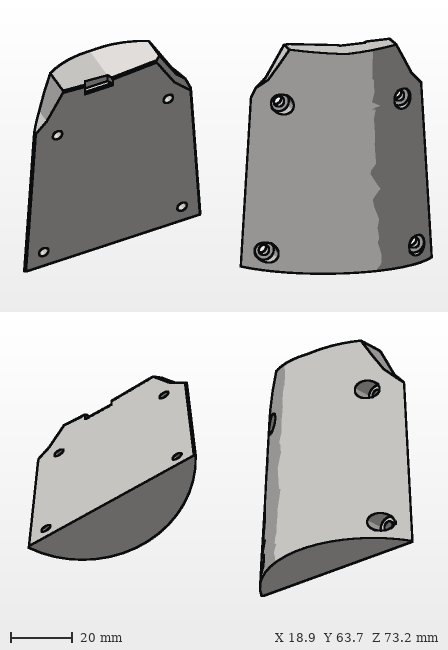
import math

import cadquery as cq

HEIGHT = 73.16
BASE_DEPTH = 18.88
BASE_WIDTH = 63.73
CROWN_TAPER = 2.92
SIDE_TAPER = 3.48
EDGE_BEVEL = 0.5

PEAK_Y = 17.8
SHOULDER_Y = 23.9
TOP_SLOPE = 4.0
SHOULDER_SLOPE = 60.0
CORNER_SLOPE = 45.0
VALLEY_HALF_WIDTH = 0.95

RELIEF = 2.05
NOTCH_NEAR_Y = -VALLEY_HALF_WIDTH
NOTCH_FAR_Y = -9.15
NOTCH_FLARE = 0.95
NOTCH_DEPTH = 2.5

HOLE_DIAMETER = 3.4
HEAD_DIAMETER = 6.5
HEAD_SEAT_X = -4.5
LOWER_HOLES = (25.0, 6.0)
UPPER_HOLES = (20.0, 55.0)

OUTSIDE = 45.0


def tangent(degrees):
    return math.tan(math.radians(degrees))


VALLEY_Z = HEIGHT - PEAK_Y * tangent(TOP_SLOPE)
SHOULDER_Z = HEIGHT - (SHOULDER_Y - PEAK_Y) * tangent(SHOULDER_SLOPE)
CORNER_END_Z = SHOULDER_Z - (OUTSIDE - SHOULDER_Y) * tangent(CORNER_SLOPE)


def top_height(y):
    """Height of the top face at a given y, before the valley is eased."""
    return VALLEY_Z + abs(y) * tangent(TOP_SLOPE)


def cross_section(body, z):
    """Add the horizontal section at height z: crown arc, bevelled edges, flat back."""
    depth = BASE_DEPTH - z * tangent(CROWN_TAPER)
    half_width = BASE_WIDTH / 2 - z * tangent(SIDE_TAPER)
    back_half_width = half_width - EDGE_BEVEL
    return (
        body.moveTo(0, -back_half_width)
        .lineTo(-EDGE_BEVEL, -half_width)
        .threePointArc((-depth, 0), (-EDGE_BEVEL, half_width))
        .lineTo(0, back_half_width)
        .close()
    )


def tapered_body():
    base = cross_section(cq.Workplane("XY"), 0)
    both = cross_section(base.workplane(offset=HEIGHT), HEIGHT)
    return both.loft(ruled=True)


def outline_prism():
    """Prism along X with the top outline; it trims the tapered body."""
    valley_edge_z = top_height(VALLEY_HALF_WIDTH)
    valley_bottom_z = valley_edge_z - VALLEY_HALF_WIDTH * tangent(TOP_SLOPE / 2)
    return (
        cq.Workplane("YZ")
        .moveTo(-OUTSIDE, 0)
        .lineTo(-OUTSIDE, CORNER_END_Z)
        .lineTo(-SHOULDER_Y, SHOULDER_Z)
        .lineTo(-PEAK_Y, HEIGHT)
        .lineTo(-VALLEY_HALF_WIDTH, valley_edge_z)
        .lineTo(0, valley_bottom_z)
        .lineTo(VALLEY_HALF_WIDTH, valley_edge_z)
        .lineTo(PEAK_Y, HEIGHT)
        .lineTo(SHOULDER_Y, SHOULDER_Z)
        .lineTo(OUTSIDE, CORNER_END_Z)
        .lineTo(OUTSIDE, 0)
        .close()
        .extrude(-OUTSIDE)
    )


def back_cutter(inner, back, depth):
    """Ruled body from the (y, z) loop at x = -depth to the loop on the back face."""
    return (
        cq.Workplane("YZ", origin=(-depth, 0, 0))
        .polyline(inner)
        .close()
        .workplane(offset=depth)
        .polyline(back)
        .close()
        .loft(ruled=True)
    )


def top_edge_bevel():
    """Small bevel along the V-shaped top edge of the back face."""

    def loop(drop):
        end_z = top_height(OUTSIDE) - drop
        roof_z = HEIGHT + OUTSIDE
        return [
            (-OUTSIDE, end_z),
            (0, VALLEY_Z - drop),
            (OUTSIDE, end_z),
            (OUTSIDE, roof_z),
            (-OUTSIDE, roof_z),
        ]

    return back_cutter(loop(0), loop(EDGE_BEVEL), EDGE_BEVEL)


def shoulder_relief():
    """45 degree relief along the two sloping edges on the +Y side."""

    def loop(inset):
        steep_drop = inset / math.cos(math.radians(SHOULDER_SLOPE))
        shallow_drop = inset / math.cos(math.radians(CORNER_SLOPE))
        steep = tangent(SHOULDER_SLOPE)
        shallow = tangent(CORNER_SLOPE)
        mitre_shift = (steep_drop - shallow_drop) / (steep - shallow)
        mitre_y = SHOULDER_Y - mitre_shift
        mitre_z = SHOULDER_Z + steep * mitre_shift - steep_drop
        roof_z = HEIGHT + OUTSIDE
        return [
            (SHOULDER_Y - (roof_z - SHOULDER_Z + steep_drop) / steep, roof_z),
            (mitre_y, mitre_z),
            (OUTSIDE, CORNER_END_Z - shallow_drop),
            (OUTSIDE, roof_z),
        ]

    return back_cutter(loop(0), loop(RELIEF), RELIEF)


def top_notch():
    """Flat-floored notch in the top back edge; its ends flare and its floor edge is bevelled."""
    floor_z = VALLEY_Z - NOTCH_DEPTH
    roof_z = HEIGHT + RELIEF

    def loop(flare, bottom_z):
        near_y = NOTCH_NEAR_Y + flare
        far_y = NOTCH_FAR_Y - flare
        return [(far_y, bottom_z), (near_y, bottom_z), (near_y, roof_z), (far_y, roof_z)]

    bevel_flare = NOTCH_FLARE * (1 - EDGE_BEVEL / RELIEF)
    notch = back_cutter(loop(0, floor_z), loop(NOTCH_FLARE, floor_z), RELIEF)
    floor_bevel = back_cutter(
        loop(bevel_flare, floor_z), loop(NOTCH_FLARE, floor_z - EDGE_BEVEL), EDGE_BEVEL
    )
    return notch.union(floor_bevel)


def screw_hole(y, z):
    """Through hole with a flat head seat, entered from the crown side."""
    through = cq.Workplane("YZ", origin=(0, y, z)).circle(HOLE_DIAMETER / 2).extrude(-BASE_DEPTH)
    seat = cq.Workplane("YZ", origin=(HEAD_SEAT_X, y, z)).circle(HEAD_DIAMETER / 2).extrude(-BASE_DEPTH)
    return through.union(seat)


result = tapered_body().intersect(outline_prism())
result = result.cut(top_edge_bevel()).cut(shoulder_relief()).cut(top_notch())
for hole_y, hole_z in (LOWER_HOLES, UPPER_HOLES):
    for side in (-1, 1):
        result = result.cut(screw_hole(side * hole_y, hole_z))